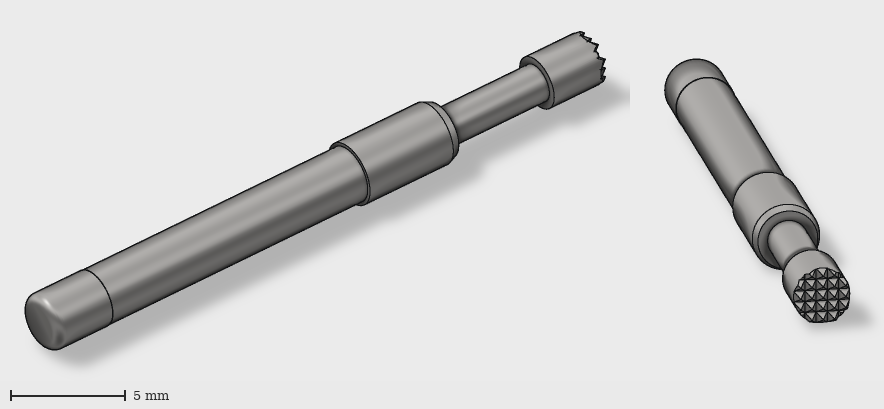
import cadquery as cq
import math

total_length = 30.3
tip_y = total_length / 2
tail_y = -total_length / 2

barrel_diameter = 2.66
cap_diameter = 2.7
collar_diameter = 3.0
shaft_diameter = 1.8
head_diameter = 2.5

cap_length = 3.0
barrel_end = 17.0
collar_end = 22.0
collar_chamfer_length = 0.43
collar_chamfer_depth = 0.17
tail_radius = 0.45
head_length = 3.0

tooth_pitch = 0.5
tooth_angle = 60.0
teeth_per_side = 2
corner_depth = 0.32
tooth_depth = tooth_pitch / 2 / math.tan(math.radians(tooth_angle / 2))


def make_body():
    """Revolved profile of the whole pin, with a plain flat tip."""
    head_start = tip_y - head_length
    points = [
        (0, tail_y),
        (cap_diameter / 2, tail_y),
        (cap_diameter / 2, tail_y + cap_length),
        (barrel_diameter / 2, tail_y + cap_length),
        (barrel_diameter / 2, tail_y + barrel_end),
        (collar_diameter / 2, tail_y + barrel_end),
        (collar_diameter / 2, tail_y + collar_end - collar_chamfer_length),
        (collar_diameter / 2 - collar_chamfer_depth, tail_y + collar_end),
        (shaft_diameter / 2, tail_y + collar_end),
        (shaft_diameter / 2, head_start),
        (head_diameter / 2, head_start),
        (head_diameter / 2, tip_y),
        (0, tip_y),
    ]
    body = cq.Workplane("XY").polyline(points).close().revolve(360, (0, 0, 0), (0, 1, 0))
    return body.faces("<Y").edges().fillet(tail_radius)


def make_grooves():
    """Parallel V grooves along Z, one on each side of every tooth row."""
    grooves = []
    for row in range(-teeth_per_side - 1, teeth_per_side + 1):
        left = row * tooth_pitch
        groove = (
            cq.Workplane("XY")
            .moveTo(left, tip_y)
            .lineTo(left + tooth_pitch / 2, tip_y - tooth_depth)
            .lineTo(left + tooth_pitch, tip_y)
            .close()
            .extrude(head_diameter, both=True)
        )
        grooves.append(groove)
    return grooves


def cut_teeth(body):
    """Cross-cut the tip with grooves along Z and along X."""
    for groove in make_grooves():
        body = body.cut(groove)
        body = body.cut(groove.rotate((0, 0, 0), (0, 1, 0), 90))
    return body


def flatten_corners(body):
    """Flatten the incomplete corner teeth to a fixed depth below the tip."""
    corner_offset = teeth_per_side * tooth_pitch
    for x_sign in (-1, 1):
        for z_sign in (-1, 1):
            corner = cq.Workplane("XY").box(tooth_pitch, 2 * corner_depth, tooth_pitch)
            body = body.cut(corner.translate((x_sign * corner_offset, tip_y, z_sign * corner_offset)))
    return body


result = flatten_corners(cut_teeth(make_body()))